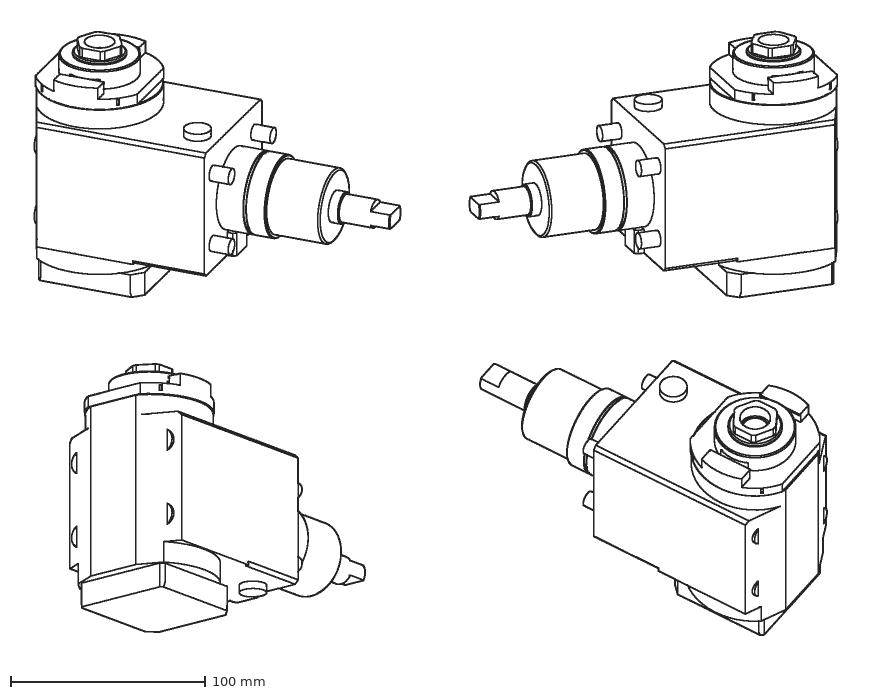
import cadquery as cq
import math


front_x = -29.0
rear_x = 75.0
body_width = 75.0
body_height = 70.0
nose_width = 30.0
nose_depth = 10.0
edge_chamfer = 2.0
block_rear_x = 34.9

half_width = body_width / 2
half_height = body_height / 2

disc_height = 11.1
upper_disc_radius = 33.0
lower_disc_radius = 36.7
upper_disc_chamfer = 0.4
disc_top_z = half_height + disc_height

base_front_x = -23.0
base_width = 56.0
base_bottom_z = -59.0
base_front_chamfer = 2.0
base_rear_chamfer = 5.7
bevel_height = 2.9
bevel_depth = 0.6

flange_radius = 33.4
flange_length = 57.0
flange_top_z = 52.0
lug_length = 24.8
lug_inner_y = 23.0
lug_top_z = 58.4
undercut_inner_y = 19.2
undercut_outer_y = 23.6
undercut_top_z = 57.4
rim_slot_angles = (50, 130, 230, 310)
rim_slot_width = 1.3
rim_slot_height = 3.0
rim_slot_center_z = 49.6
rim_slot_depth = 1.0

ring_radius = 21.0
ring_top_z = 62.5
ring_chamfer = 0.7
collar_radius = 14.0
collar_top_z = 64.0
collar_chamfer = 0.8
hex_flats = 22.0
hex_corner_radius = 12.1
spindle_top_z = 69.23
bore_radius = 7.8
bore_depth = 7.0
bore_floor_radius = 6.7
bore_floor_depth = 0.5

seat_radius = 22.0
seat_end_x = 90.0
groove_radius = 21.4
groove_end_x = 91.6
collet_ring_end_x = 102.4
collet_ring_chamfer = 0.5
barrel_radius = 20.0
barrel_end_x = 132.0
barrel_chamfer = 1.0
neck_radius = 8.5
neck_end_x = 137.7
neck_chamfer = 0.5
shaft_radius = 7.5
shaft_end_x = 166.0
shaft_chamfer = 0.5
tang_start_x = 154.8
tang_thickness = 8.0

screw_y = 27.1
screw_z = 20.0
screw_head_radius = 6.5
screw_head_x = -22.2
screw_shank_radius = 4.2
screw_end_x = 85.7
dowel_x = 62.5
dowel_y = -17.6
dowel_radius = 7.1
dowel_end_z = 39.0
key_end_x = 79.8
key_width = 16.0
key_chamfer = 1.5


def z_cylinder(radius, bottom_z, top_z, x=0.0, y=0.0):
    return cq.Workplane("XY", origin=(x, y, bottom_z)).circle(radius).extrude(top_z - bottom_z)


def x_cylinder(radius, start_x, end_x, y, z):
    return cq.Workplane("YZ", origin=(start_x, y, z)).circle(radius).extrude(end_x - start_x)


def box_between(x_range, y_range, z_range):
    ranges = (x_range, y_range, z_range)
    size = [high - low for low, high in ranges]
    corner = tuple(low for low, _ in ranges)
    return cq.Workplane("XY").box(*size, centered=False).translate(corner)


def housing_plan(bottom_z, top_z):
    """Prism with the housing outline: a rectangle with a tapered nose."""
    shoulder_x = front_x + nose_depth
    outline = [
        (front_x, -nose_width / 2),
        (shoulder_x, -half_width),
        (rear_x, -half_width),
        (rear_x, half_width),
        (shoulder_x, half_width),
        (front_x, nose_width / 2),
    ]
    return cq.Workplane("XY", origin=(0, 0, bottom_z)).polyline(outline).close().extrude(top_z - bottom_z)


def edge_chamfer_cutter(side, level, start_x):
    """Triangular prism along X that bevels one long edge of the housing."""
    y = side * half_width
    z = level * half_height
    profile = [(y, z), (y - side * edge_chamfer, z), (y, z - level * edge_chamfer)]
    return cq.Workplane("YZ", origin=(start_x, 0, 0)).polyline(profile).close().extrude(rear_x - start_x)


def make_housing():
    body = housing_plan(-half_height, half_height)
    for side in (-1, 1):
        body = body.cut(edge_chamfer_cutter(side, 1, front_x))
        body = body.cut(edge_chamfer_cutter(side, -1, block_rear_x))

    upper = housing_plan(half_height, disc_top_z)
    upper = upper.intersect(z_cylinder(upper_disc_radius, half_height, disc_top_z))
    upper = upper.faces(">Z").chamfer(upper_disc_chamfer)

    lower = housing_plan(-disc_top_z, -half_height)
    lower = lower.intersect(z_cylinder(lower_disc_radius, -disc_top_z, -half_height))
    behind_block = box_between(
        (block_rear_x, rear_x), (-half_width, half_width), (-disc_top_z, -half_height)
    )
    return body.union(upper).union(lower.cut(behind_block))


def make_base_block():
    length = block_rear_x - base_front_x
    height = -disc_top_z - base_bottom_z
    half = base_width / 2
    plan = cq.Workplane("XY", origin=(base_front_x, 0, base_bottom_z))
    plan = plan.rect(length, base_width).extrude(height).translate((length / 2, 0, 0))
    plan = plan.edges("|Z and <X").chamfer(base_front_chamfer)
    plan = plan.edges("|Z and >X").chamfer(base_rear_chamfer)
    section = [
        (-half + bevel_depth, base_bottom_z),
        (half - bevel_depth, base_bottom_z),
        (half, base_bottom_z + bevel_height),
        (half, -disc_top_z),
        (-half, -disc_top_z),
        (-half, base_bottom_z + bevel_height),
    ]
    beveled = cq.Workplane("YZ", origin=(base_front_x, 0, 0)).polyline(section).close().extrude(length)
    return plan.intersect(beveled)


def make_flange():
    flats = box_between(
        (-flange_length / 2, flange_length / 2),
        (-flange_radius, flange_radius),
        (disc_top_z, flange_top_z),
    )
    flange = z_cylinder(flange_radius, disc_top_z, flange_top_z).intersect(flats)
    lug_round = z_cylinder(flange_radius, flange_top_z, lug_top_z)
    for side in (-1, 1):
        y_range = sorted((side * lug_inner_y, side * flange_radius))
        lug = box_between((-lug_length / 2, lug_length / 2), y_range, (flange_top_z, lug_top_z))
        flange = flange.union(lug.intersect(lug_round))
    for angle in rim_slot_angles:
        slot = cq.Workplane("XY").box(2 * rim_slot_depth, rim_slot_width, rim_slot_height)
        slot = slot.translate((flange_radius, 0, rim_slot_center_z))
        flange = flange.cut(slot.rotate((0, 0, 0), (0, 0, 1), angle))
    return flange


def make_spindle():
    ring = z_cylinder(ring_radius, flange_top_z, ring_top_z).faces(">Z").chamfer(ring_chamfer)
    collar = z_cylinder(collar_radius, ring_top_z, collar_top_z).faces(">Z").chamfer(collar_chamfer)
    corner_diameter = hex_flats / math.cos(math.pi / 6)
    hexagon = cq.Workplane("XY", origin=(0, 0, collar_top_z))
    hexagon = hexagon.polygon(6, corner_diameter).extrude(spindle_top_z - collar_top_z)
    hexagon = hexagon.intersect(z_cylinder(hex_corner_radius, collar_top_z, spindle_top_z))
    return ring.union(collar).union(hexagon)


def cut_spindle_recesses(part):
    """Straight slots under the lugs and the stepped blind bore in the spindle."""
    for side in (-1, 1):
        y_range = sorted((side * undercut_inner_y, side * undercut_outer_y))
        undercut = box_between(
            (-flange_radius, flange_radius), y_range, (flange_top_z, undercut_top_z)
        )
        part = part.cut(undercut)
    floor_z = spindle_top_z - bore_depth
    part = part.cut(z_cylinder(bore_radius, floor_z, spindle_top_z))
    return part.cut(z_cylinder(bore_floor_radius, floor_z - bore_floor_depth, floor_z))


def make_drive_shaft():
    profile = [
        (rear_x, 0),
        (rear_x, seat_radius),
        (seat_end_x, seat_radius),
        (seat_end_x, groove_radius),
        (groove_end_x, groove_radius),
        (groove_end_x, seat_radius),
        (collet_ring_end_x - collet_ring_chamfer, seat_radius),
        (collet_ring_end_x, seat_radius - collet_ring_chamfer),
        (collet_ring_end_x, barrel_radius),
        (barrel_end_x - barrel_chamfer, barrel_radius),
        (barrel_end_x, barrel_radius - barrel_chamfer),
        (barrel_end_x, neck_radius),
        (neck_end_x - neck_chamfer, neck_radius),
        (neck_end_x, neck_radius - neck_chamfer),
        (neck_end_x, shaft_radius),
        (shaft_end_x - shaft_chamfer, shaft_radius),
        (shaft_end_x, shaft_radius - shaft_chamfer),
        (shaft_end_x, 0),
    ]
    shaft = cq.Workplane("XZ").polyline(profile).close().revolve(360, (0, 0, 0), (1, 0, 0))
    for side in (-1, 1):
        z_range = sorted((side * tang_thickness / 2, side * shaft_radius))
        flat = box_between((tang_start_x, shaft_end_x), (-shaft_radius, shaft_radius), z_range)
        shaft = shaft.cut(flat)
    return shaft


def add_fasteners(part):
    for y in (-screw_y, screw_y):
        for z in (-screw_z, screw_z):
            part = part.union(x_cylinder(screw_head_radius, screw_head_x, 0, y, z))
            part = part.union(x_cylinder(screw_shank_radius, 0, screw_end_x, y, z))
    return part.union(z_cylinder(dowel_radius, -dowel_end_z, dowel_end_z, dowel_x, dowel_y))


def make_key():
    """Locating key on the rear face, below the shaft seat."""
    key = box_between(
        (rear_x, key_end_x), (-key_width / 2, key_width / 2), (-half_height, -seat_radius)
    )
    return key.edges("|Z and >X").chamfer(key_chamfer)


result = make_housing()
result = result.union(make_base_block())
result = result.union(make_flange())
result = result.union(make_spindle())
result = cut_spindle_recesses(result)
result = result.union(make_drive_shaft())
result = add_fasteners(result)
result = result.union(make_key())